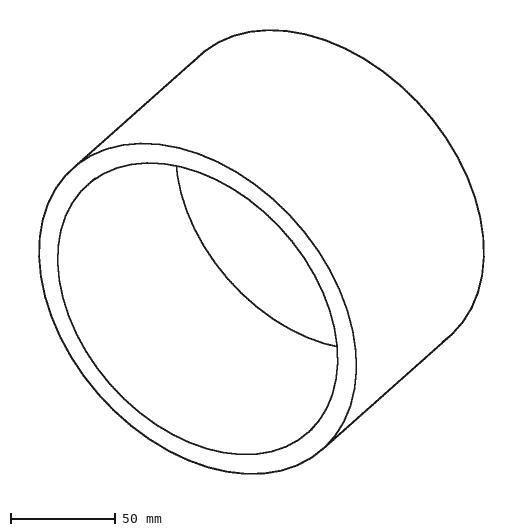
import cadquery as cq
import math

outer_radius = 90.0
bore_radius = 79.4
total_length = 124.2
skirt_length = 114.0
crown_thickness = 10.6

dome_rise = total_length - skirt_length
outer_dome_radius = (outer_radius**2 + dome_rise**2) / (2 * dome_rise)
inner_dome_radius = outer_dome_radius - crown_thickness
dome_center = total_length - outer_dome_radius

rim_y = 0.0


def dome_y(sphere_radius, radius):
    """Y position of a dome face at a given distance from the axis."""
    return dome_center + math.sqrt(sphere_radius**2 - radius**2)


def dome_point(sphere_radius, radius):
    """Profile point (Y, distance from axis) on a dome face."""
    return (dome_y(sphere_radius, radius), radius)


def solid_of_revolution(radius, sphere_radius):
    """Cylinder from the rim along +Y, ending in a spherical dome."""
    profile = (
        cq.Workplane("YZ")
        .moveTo(rim_y, 0)
        .lineTo(rim_y, radius)
        .lineTo(*dome_point(sphere_radius, radius))
        .threePointArc(
            dome_point(sphere_radius, radius / 2),
            dome_point(sphere_radius, 0),
        )
        .close()
    )
    return profile.revolve(360, (0, 0, 0), (1, 0, 0))


body = solid_of_revolution(outer_radius, outer_dome_radius)
cavity = solid_of_revolution(bore_radius, inner_dome_radius)
result = body.cut(cavity)